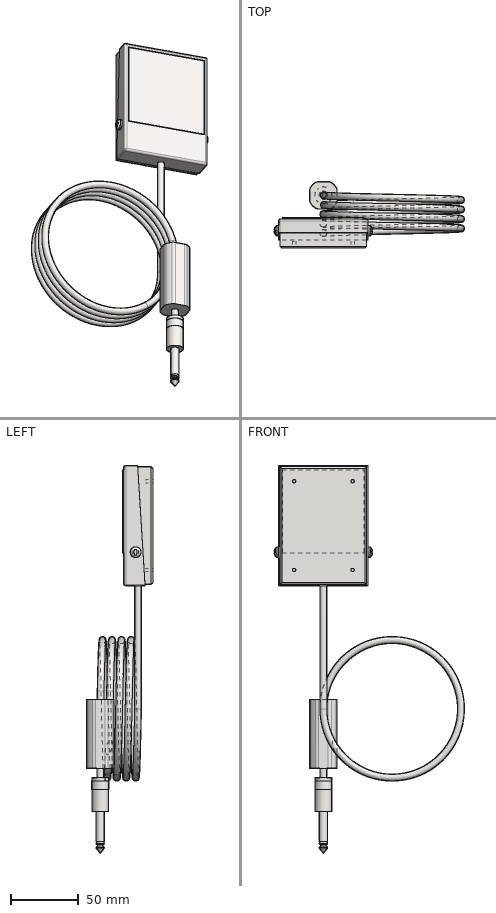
import cadquery as cq
import math

INCH = 25.4

overall_height = 286.43

box_width = 2.6 * INCH
box_height = 3.5 * INCH
box_front_y = -11.09
box_back_y = 10.6
box_corner_radius = 0.9
box_back_radius = 1.7
shell_step = 1.0
front_chamfer = 1.4
split_top_y = 0.3
split_bottom_y = -5.2
box_top_z = overall_height
box_bottom_z = box_top_z - box_height
box_middle_z = (box_top_z + box_bottom_z) / 2

plate_width = 60.0
plate_height = 61.0
plate_thickness = 0.8
plate_top_gap = 3.6

hole_diameter = 2.44
hole_depth = 5.08
hole_pitch_x = 1.7 * INCH
hole_pitch_z = 65.5

screw_diameter = 8.0
screw_rim = 1.3
screw_height = 3.48
screw_y = 1.8
screw_z = box_bottom_z + 24.8
recess_length = 4.0
recess_width = 1.4
recess_depth = 1.2

cable_diameter = 0.2 * INCH
coil_radius = 2.0 * INCH
coil_turns = 4
plug_y = 1.1 * INCH
coil_pitch = plug_y / coil_turns
coil_z = 106.7
coil_joints = (0, 2.96, 3.15, 3.96, coil_turns)

block_width = 0.8 * INCH
block_round_diameter = 22.3
block_edge_radius = 4.5
block_height = 2.0 * INCH
block_bottom_z = 62.8

barrel_diameter = 12.45
band_diameter = 12.7
pin_diameter = 6.3
insulator_diameter = 5.79
neck_diameter = 4.06
barrel_top_z = 55.9
band_top_z = 53.3
band_bottom_z = 47.2
barrel_bottom_z = 30.8
pin_bottom_z = 8.8
collar_top_z = 7.3
collar_bottom_z = 6.9
neck_top_z = 6.4
neck_bottom_z = 5.4
head_top_z = 4.4
head_bottom_z = 4.0


def block_between(width, y_min, y_max, z_min, z_max):
    """Rectangular block centred on X = 0."""
    size = (width, y_max - y_min, z_max - z_min)
    return cq.Workplane("XY").box(*size).translate((0, (y_min + y_max) / 2, (z_min + z_max) / 2))


def behind_split():
    """Everything behind the leaning plane where the two box halves meet."""
    reach = box_width
    lean = (split_top_y - split_bottom_y) / box_height
    top = (split_top_y + lean * reach, box_top_z + reach)
    bottom = (split_bottom_y - lean * reach, box_bottom_z - reach)
    outline = [top, bottom, (reach, bottom[1]), (reach, top[1])]
    return cq.Workplane("YZ").polyline(outline).close().extrude(reach, both=True)


def make_box():
    rear = block_between(box_width, box_front_y, box_back_y, box_bottom_z, box_top_z)
    rear = rear.edges("|Y").fillet(box_corner_radius)
    rear = rear.faces(">Y").edges().fillet(box_back_radius)
    rear = rear.intersect(behind_split())

    front = block_between(
        box_width - 2 * shell_step,
        box_front_y,
        box_back_y - box_back_radius,
        box_bottom_z + shell_step,
        box_top_z - shell_step,
    )
    front = front.faces("<Y").edges().chamfer(front_chamfer)

    plate_top_z = box_top_z - plate_top_gap
    plate = block_between(
        plate_width, 0, box_back_y + plate_thickness, plate_top_z - plate_height, plate_top_z
    )
    return rear.union(front).union(plate)


def make_front_holes():
    return (
        cq.Workplane("XZ", origin=(0, box_front_y, box_middle_z))
        .rarray(hole_pitch_x, hole_pitch_z, 2, 2)
        .circle(hole_diameter / 2)
        .extrude(-hole_depth)
    )


def make_screw(side):
    """Domed cross-recess screw head on the side of the box; side is +1 or -1."""
    radius = screw_diameter / 2
    dome_height = screw_height - screw_rim
    dome_radius = (radius**2 + dome_height**2) / (2 * dome_height)
    half_angle = math.asin(radius / dome_radius) / 2
    dome_middle = (
        dome_radius * math.sin(half_angle),
        screw_height - dome_radius * (1 - math.cos(half_angle)),
    )
    head = (
        cq.Workplane("XZ")
        .moveTo(0, -shell_step)
        .lineTo(radius, -shell_step)
        .lineTo(radius, screw_rim)
        .threePointArc(dome_middle, (0, screw_height))
        .close()
        .revolve(360, (0, 0, 0), (0, 1, 0))
    )
    for length, width in ((recess_length, recess_width), (recess_width, recess_length)):
        slot = cq.Workplane("XY", origin=(0, 0, screw_height - recess_depth))
        head = head.cut(slot.rect(length, width).extrude(recess_depth))
    head = head.rotate((0, 0, 0), (0, 1, 0), side * 90)
    return head.translate((side * box_width / 2, screw_y, screw_z))


def vertical_cable(y, z_min, z_max):
    return cq.Workplane("XY", origin=(0, y, z_min)).circle(cable_diameter / 2).extrude(z_max - z_min)


def make_coil_stretch(first_turn, last_turn):
    """Part of the left-handed coil, which starts downwards on the Z axis at turn 0."""
    turns = last_turn - first_turn
    helix = cq.Wire.makeHelix(coil_pitch, turns * coil_pitch, coil_radius, lefthand=True)
    helix = helix.rotate(cq.Vector(0, 0, 0), cq.Vector(0, 0, 1), 180)
    helix = helix.rotate(cq.Vector(0, 0, 0), cq.Vector(1, 0, 0), -90)
    section = cq.Workplane("XY", origin=(-coil_radius, 0, 0)).circle(cable_diameter / 2)
    stretch = section.sweep(cq.Workplane(helix), isFrenet=True)
    stretch = stretch.rotate((0, 0, 0), (0, 1, 0), -360 * first_turn)
    return stretch.translate((coil_radius, first_turn * coil_pitch, coil_z))


def make_ferrite_block():
    """Round block with four flats that blend into the round."""
    block = (
        cq.Workplane("XY", origin=(0, plug_y, block_bottom_z))
        .circle(block_round_diameter / 2)
        .extrude(block_height)
    )
    flats = block_between(
        block_width,
        plug_y - block_width / 2,
        plug_y + block_width / 2,
        block_bottom_z,
        block_bottom_z + block_height,
    )
    return block.intersect(flats).edges("|Z").fillet(block_edge_radius)


def make_plug():
    outline = [
        (0, 0),
        (pin_diameter / 2, head_bottom_z),
        (pin_diameter / 2, head_top_z),
        (neck_diameter / 2, neck_bottom_z),
        (neck_diameter / 2, neck_top_z),
        (pin_diameter / 2, collar_bottom_z),
        (pin_diameter / 2, collar_top_z),
        (insulator_diameter / 2, collar_top_z),
        (insulator_diameter / 2, pin_bottom_z),
        (pin_diameter / 2, pin_bottom_z),
        (pin_diameter / 2, barrel_bottom_z),
        (barrel_diameter / 2, barrel_bottom_z),
        (barrel_diameter / 2, band_bottom_z),
        (band_diameter / 2, band_bottom_z),
        (band_diameter / 2, band_top_z),
        (barrel_diameter / 2, band_top_z),
        (barrel_diameter / 2, barrel_top_z),
        (0, barrel_top_z),
    ]
    plug = cq.Workplane("XZ").polyline(outline).close().revolve(360, (0, 0, 0), (0, 1, 0))
    return plug.translate((0, plug_y, 0))


result = make_box().cut(make_front_holes())
for side in (-1, 1):
    result = result.union(make_screw(side))
result = result.union(vertical_cable(0, coil_z, box_middle_z))
for first_turn, last_turn in zip(coil_joints, coil_joints[1:]):
    result = result.union(make_coil_stretch(first_turn, last_turn))
result = result.union(make_ferrite_block())
result = result.union(vertical_cable(plug_y, barrel_bottom_z, block_bottom_z + block_height / 2))
result = result.union(make_plug())